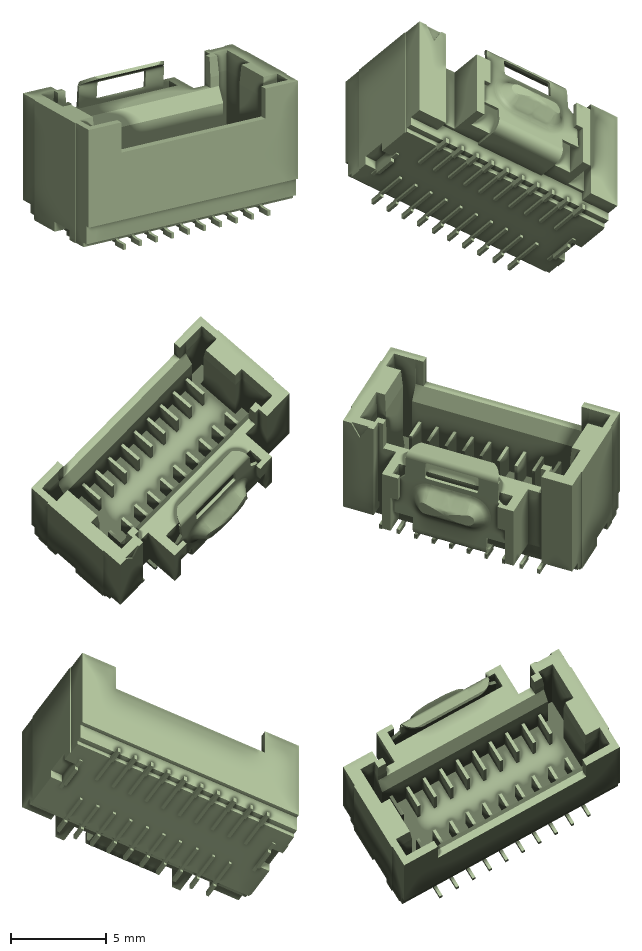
import cadquery as cq
import math


length_x = 6.35
height = 6.75
end_panel_half_y = 6.59
end_half_y = 6.54
end_panel_x = (1.2, 5.145)

low_step_z = 0.25
post_bottom_z = 0.75
wall_bottom_z = 1.25
front_foot_x = 1.09
front_step_x = 0.754
rear_foot_x = 5.85
rear_step_x = 6.14

wall_top_z = 5.05
post_inner_y = 4.79
front_wall_x = 0.59
window_half_y = 4.5

floor_z = 1.25
lead_in_z = 5.65
lead_in_growth = 0.08
lip_x = 1.04
lip_half_y = 5.05
wide_bay_half_y = 5.75
wide_bay_x = (0.65, 2.68)
rib_half_y = 5.25
rear_bay_x = (4.95, 5.86)
rear_bay_half_y = 6.1
rib_ramp_x = 5.17
rib_ramp_top_z = 2.2
liner_bevel_drop = 0.83
front_liner_x = 1.46
front_liner_half_y = 5.03
rear_liner_x = 5.485
rear_liner_top_x = 5.95
rear_liner_half_y = 4.95

mark_y = 5.59
mark_half_width = 0.49
mark_drop = 0.86
mark_depth = 0.08

holder_x = -1.31
holder_half_y = 3.76
slot_x = (-1.04, -0.21)
slot_half_y = 3.26
slot_mouth_half_y = 2.84
hook_bottom_z = 3.55

sheet = 0.17
clip_lean = math.radians(4.6)
tab_slope = math.radians(30)
clip_heel_r = 0.6
clip_bottom_z = wall_bottom_z - sheet
clip_heel_x = -1.09
clip_knee_r = 0.4
tab_end_x = 0.03
tab_half_y = 2.63
tab_corner_r = 0.95
clip_neck_half_y = 2.65
clip_wing_half_y = 3.17
clip_tail_half_y = 2.1
clip_wing_z = (2.385, 4.42)
window_y = 3.04
window_z = (5.13, 6.13)
window_corner_r = 0.1

bump_tip_x = -1.72
bump_z = 3.7
bump_straight_half = 1.17
bump_root_r = 1.14
bump_crown_r = 6.0
bump_flank = [(0.12, 0.86), (0.5, 0.6), (0.85, 0.33)]

contact_pitch = 1.0
contacts_per_row = 10
contact_thickness = 0.17
row_mid_x = 3.465
foot_bottom_z = -0.3
foot_tip_x = 0.25
foot_heel_x = 1.05
shank_bottom_z = -0.15
shoulder_z = 0.09
shoulder_start_x = 0.78
blade_x = (1.44, 2.68)
blade_top_z = 2.94

solder_y = 5.83
solder_thickness = 0.19
solder_foot_x = (3.24, 4.49)
solder_flange_x = (2.8, 4.98)
solder_flange_z = (-0.08, 0.6)
notch_x = (3.15, 4.57)
notch_height = 0.54


def box(x, y, z):
    """Box spanning the given (low, high) pairs."""
    block = cq.Workplane("XY").box(x[1] - x[0], y[1] - y[0], z[1] - z[0], centered=False)
    return block.translate((x[0], y[0], z[0]))


def sym_box(x, half_y, z):
    """Box centred on the mid-plane."""
    return box(x, (-half_y, half_y), z)


def extrude_y(profile, half_y, y=0.0):
    """XZ outline thickened by half_y to both sides of the given Y."""
    return cq.Workplane("XZ").polyline(profile).close().extrude(half_y, both=True).translate((0, y, 0))


def both_ends(shape):
    """The shape together with its mirror image across the mid-plane."""
    return shape.union(shape.mirror("XZ"))


def make_shell():
    profile = [
        (front_foot_x, 0),
        (front_foot_x, low_step_z),
        (front_step_x, low_step_z),
        (front_step_x, post_bottom_z),
        (0, post_bottom_z),
        (0, height),
        (length_x, height),
        (length_x, wall_bottom_z),
        (rear_step_x, wall_bottom_z),
        (rear_step_x, low_step_z),
        (rear_foot_x, low_step_z),
        (rear_foot_x, 0),
    ]
    shell = extrude_y(profile, end_half_y)
    shell = shell.union(sym_box(end_panel_x, end_panel_half_y, (0, height)))
    shell = shell.cut(sym_box((0, front_wall_x), post_inner_y, (0, height)))
    shell = shell.cut(sym_box((0, front_step_x), post_inner_y, (0, wall_bottom_z)))
    return shell.cut(sym_box((0, length_x), window_half_y, (wall_top_z, height)))


def cavity_outline(z):
    """Cavity plan at height z, listed for one end and mirrored to the other."""
    half = [
        (lip_x, lip_half_y),
        (wide_bay_x[0], lip_half_y),
        (wide_bay_x[0], wide_bay_half_y),
        (wide_bay_x[1], wide_bay_half_y),
        (wide_bay_x[1], rib_half_y),
        (rear_bay_x[0], rib_half_y),
        (rear_bay_x[0], rear_bay_half_y),
        (rear_bay_x[1], rear_bay_half_y),
    ]
    other_half = [(x, -y) for x, y in reversed(half)]
    return cq.Workplane("XY").workplane(offset=z).polyline(half + other_half).close()


def make_cavity():
    lead_in_bottom = cavity_outline(lead_in_z).wire().val()
    lead_in_top = cavity_outline(height).offset2D(lead_in_growth, "intersection").val()
    lead_in = cq.Solid.makeLoft([lead_in_bottom, lead_in_top], True)
    straight = cavity_outline(floor_z).extrude(lead_in_z - floor_z)
    rear_relief = sym_box((rear_bay_x[0], rear_liner_top_x), rear_liner_half_y, (floor_z, height))
    return straight.union(rear_relief).union(cq.Workplane(lead_in))


def make_liners():
    """Bevelled thickenings inside the long walls and the ramps beside the end ribs."""
    bevel_z = wall_top_z - liner_bevel_drop
    front = [
        (front_wall_x, floor_z),
        (front_wall_x, wall_top_z),
        (lip_x, wall_top_z),
        (front_liner_x, bevel_z),
        (front_liner_x, floor_z),
    ]
    rear = [
        (length_x, floor_z),
        (length_x, wall_top_z),
        (rear_liner_top_x, wall_top_z),
        (rear_liner_x, bevel_z),
        (rear_liner_x, floor_z),
    ]
    ramp = [(rear_bay_x[0], floor_z), (rear_bay_x[0], rib_ramp_top_z), (rib_ramp_x, floor_z)]
    ramp_half_y = (rear_bay_half_y - rib_half_y) / 2
    ramps = both_ends(extrude_y(ramp, ramp_half_y, rib_half_y + ramp_half_y))
    return extrude_y(front, front_liner_half_y).union(extrude_y(rear, rear_liner_half_y)).union(ramps)


def make_mark():
    triangle = [
        (mark_y - mark_half_width, height),
        (mark_y + mark_half_width, height),
        (mark_y, height - mark_drop),
    ]
    return cq.Workplane("YZ").polyline(triangle).close().extrude(mark_depth)


def make_holder():
    z = (wall_bottom_z, wall_top_z)
    holder = sym_box((holder_x, front_wall_x), holder_half_y, z)
    holder = holder.cut(sym_box(slot_x, slot_half_y, z))
    holder = holder.cut(sym_box((holder_x, slot_x[0]), slot_mouth_half_y, z))
    return holder.cut(sym_box((holder_x, slot_x[0]), slot_half_y, (wall_bottom_z, hook_bottom_z)))


def make_housing():
    housing = make_shell().cut(make_cavity()).union(make_liners()).cut(make_mark()).union(make_holder())
    solder_face_y = solder_y + solder_thickness / 2
    notch = box(notch_x, (solder_face_y, end_panel_half_y), (0, notch_height))
    return housing.cut(both_ends(notch))


def clip_face_x(z):
    """X of the outer face of the leaning clip wall at height z."""
    return clip_heel_x + (z - clip_bottom_z - clip_heel_r) * math.tan(clip_lean)


def make_clip_strip():
    """Bent sheet: foot under the holder, rounded heel, leaning wall and sloping top tab."""
    heel_z = clip_bottom_z + clip_heel_r
    heel_center_x = clip_heel_x + clip_heel_r
    inner_r = clip_heel_r - sheet
    diagonal = math.sqrt(0.5)
    lean = math.tan(clip_lean)
    slope = math.tan(tab_slope)
    knee_z = (height + slope * (clip_face_x(0) - tab_end_x)) / (1 - slope * lean)
    knee = (clip_face_x(knee_z), knee_z)
    half_bend = (math.pi / 2 - clip_lean - tab_slope) / 2
    knee_angle = clip_lean + half_bend
    miter = sheet / math.cos(half_bend)
    inner_knee = (knee[0] + miter * math.cos(knee_angle), knee[1] - miter * math.sin(knee_angle))
    outline = (
        cq.Workplane("XZ")
        .moveTo(front_step_x, clip_bottom_z)
        .lineTo(heel_center_x, clip_bottom_z)
        .threePointArc(
            (heel_center_x - clip_heel_r * diagonal, heel_z - clip_heel_r * diagonal), (clip_heel_x, heel_z)
        )
        .lineTo(*knee)
        .lineTo(tab_end_x, height)
        .lineTo(tab_end_x + sheet * math.sin(tab_slope), height - sheet * math.cos(tab_slope))
        .lineTo(*inner_knee)
        .lineTo(clip_heel_x + sheet, heel_z)
        .threePointArc(
            (heel_center_x - inner_r * diagonal, heel_z - inner_r * diagonal), (heel_center_x, wall_bottom_z)
        )
        .lineTo(front_step_x, wall_bottom_z)
        .close()
    )
    strip = outline.extrude(clip_wing_half_y, both=True)
    strip = strip.edges(cq.NearestToPointSelector((knee[0], 0, knee[1]))).fillet(clip_knee_r)
    inner_edge = cq.NearestToPointSelector((inner_knee[0], 0, inner_knee[1]))
    return strip.edges(inner_edge).fillet(clip_knee_r - sheet)


def make_clip():
    shoulder_top_z = clip_wing_z[1] + clip_wing_half_y - clip_neck_half_y
    half = [
        (clip_tail_half_y, 0),
        (clip_tail_half_y, clip_wing_z[0]),
        (clip_wing_half_y, clip_wing_z[0]),
        (clip_wing_half_y, clip_wing_z[1]),
        (clip_neck_half_y, shoulder_top_z),
        (clip_neck_half_y, window_z[1]),
        (tab_half_y, window_z[1]),
        (tab_half_y, height),
    ]
    other_half = [(-y, z) for y, z in reversed(half)]
    face = cq.Workplane("YZ").polyline(half + other_half).close().extrude(length_x, both=True)
    tab_tip_x = tab_end_x + sheet * math.sin(tab_slope)
    tab_plan = sym_box((holder_x, tab_tip_x), tab_half_y, (window_z[1], height))
    tab_plan = tab_plan.edges("|Z and >X").fillet(tab_corner_r)
    below_tab = sym_box((holder_x, length_x), clip_wing_half_y, (0, window_z[1]))
    window_height = window_z[1] - window_z[0]
    window = (
        cq.Workplane("XY")
        .box(-holder_x, window_y, window_height)
        .edges("|X")
        .fillet(window_corner_r)
        .translate((holder_x / 2, 0, window_z[0] + window_height / 2))
    )
    return make_clip_strip().intersect(face).intersect(tab_plan.union(below_tab)).cut(window)


def make_bump():
    """Crowned oblong dome, built pointing along -X from the origin, then set square on the clip wall."""
    root_x = clip_face_x(bump_z)
    rise = (root_x - bump_tip_x) / math.cos(clip_lean)
    embed = sheet / 2
    flank = [(-rise * fraction, radius) for fraction, radius in bump_flank]

    def half_section(plane):
        section = cq.Workplane(plane).moveTo(embed, 0).lineTo(embed, bump_root_r).lineTo(0, bump_root_r)
        return section.spline(flank + [(-rise, 0)], tangents=[(0, -1), (0, -1)], includeCurrent=True).close()

    end = half_section("XY").revolve(360, (0, 0, 0), (1, 0, 0))
    half_bar = half_section("XZ").extrude(bump_straight_half, both=True)
    bar = half_bar.union(half_bar.mirror("XY"))
    bump = bar.union(both_ends(end.translate((0, bump_straight_half, 0))))
    crown = cq.Workplane("XY").center(bump_crown_r - rise, 0).circle(bump_crown_r)
    bump = bump.intersect(crown.extrude(bump_root_r * 2, both=True))
    return bump.rotate((0, 0, 0), (0, 1, 0), math.degrees(clip_lean)).translate((root_x, 0, bump_z))


def make_contacts():
    front = [
        (foot_tip_x, foot_bottom_z),
        (foot_heel_x, foot_bottom_z),
        (foot_heel_x, shank_bottom_z),
        (blade_x[1], shank_bottom_z),
        (blade_x[1], blade_top_z),
        (blade_x[0], blade_top_z),
        (blade_x[0], shoulder_z),
        (front_foot_x, shoulder_z),
        (shoulder_start_x, 0),
        (foot_tip_x, 0),
    ]
    rear = [(2 * row_mid_x - x, z) for x, z in front]
    contacts = cq.Workplane("XY")
    for i in range(contacts_per_row):
        y = (i - (contacts_per_row - 1) / 2) * contact_pitch
        for profile in (front, rear):
            contacts = contacts.union(extrude_y(profile, contact_thickness / 2, y))
    return contacts


def make_solder_tabs():
    y = (solder_y - solder_thickness / 2, solder_y + solder_thickness / 2)
    foot = box(solder_foot_x, y, (foot_bottom_z, solder_flange_z[1]))
    return both_ends(foot.union(box(solder_flange_x, y, solder_flange_z)))


result = make_housing().union(make_clip()).union(make_bump()).union(make_contacts()).union(make_solder_tabs())